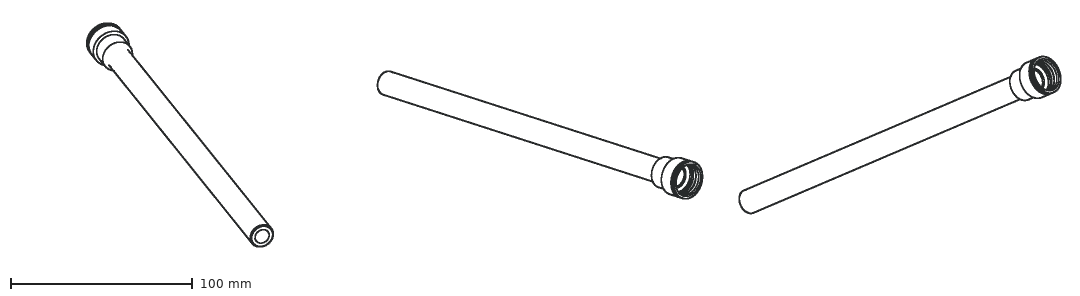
import cadquery as cq
import math

total_length = 250.0
stem_diameter = 13.5
stem_end_chamfer = 0.6

head_diameter = 21.0
head_length = 10.5
head_taper_length = 0.6
neck_diameter = 17.5
neck_end = 20.65
neck_fillet = 1.5

groove_diameter = 20.0
groove_start = 1.5
groove_width = 1.1

mouth_diameter = 18.2
seal_bore_diameter = 17.0
seal_bore_end = 8.1
inner_groove_diameter = 18.0
inner_groove_start = 3.15
inner_groove_floor = 1.8

tube_lead_diameter = 13.0
tube_bore_diameter = 12.0
tube_bore_end = 18.0
bore_diameter = 8.2

lead_half_angle = 30.0
shoulder_half_angle = 59.0
tube_stop_half_angle = 70.0

edge_margin = 0.1


def cone_length(large_diameter, small_diameter, half_angle):
    """Axial length of a cone between two diameters."""
    return (large_diameter - small_diameter) / 2 / math.tan(math.radians(half_angle))


def revolve_profile(stations):
    """Solid of revolution about X from (x, diameter) stations."""
    points = [(x, diameter / 2) for x, diameter in stations]
    axis_start = (points[0][0], 0)
    axis_end = (points[-1][0], 0)
    outline = cq.Workplane("XY").polyline([axis_start] + points + [axis_end]).close()
    return outline.revolve(360, (0, 0, 0), (1, 0, 0))


def outer_body():
    """Head, neck and stem without grooves or bore."""
    return revolve_profile([
        (0, head_diameter),
        (head_length, head_diameter),
        (head_length + head_taper_length, neck_diameter),
        (neck_end, neck_diameter),
        (neck_end, stem_diameter),
        (total_length - stem_end_chamfer, stem_diameter),
        (total_length, stem_diameter - 2 * stem_end_chamfer),
    ])


def round_neck_root(body):
    """Fillet the inside corner where the stem meets the neck."""
    reach = stem_diameter / 2 + edge_margin
    corner_box = cq.selectors.BoxSelector(
        (neck_end - edge_margin, -reach, -reach),
        (neck_end + edge_margin, reach, reach),
        boundingbox=True,
    )
    return body.edges(corner_box).fillet(neck_fillet)


def outer_groove():
    """Square-sided ring cut into the outside of the head."""
    disc = cq.Workplane("YZ", origin=(groove_start, 0, 0)).circle(head_diameter / 2 + edge_margin)
    return disc.circle(groove_diameter / 2).extrude(groove_width)


def inner_groove():
    """Plug whose middle is wider than the seal bore, leaving a groove in the wall."""
    slope = cone_length(inner_groove_diameter, seal_bore_diameter, lead_half_angle)
    floor_start = inner_groove_start + slope
    floor_end = floor_start + inner_groove_floor
    return revolve_profile([
        (inner_groove_start, seal_bore_diameter),
        (floor_start, inner_groove_diameter),
        (floor_end, inner_groove_diameter),
        (floor_end + slope, seal_bore_diameter),
    ])


def passage():
    """Stepped bore from the mouth to the far end of the stem."""
    lead_end = cone_length(mouth_diameter, seal_bore_diameter, lead_half_angle)
    shoulder_end = seal_bore_end + cone_length(
        seal_bore_diameter, tube_lead_diameter, shoulder_half_angle
    )
    tube_bore_start = shoulder_end + cone_length(
        tube_lead_diameter, tube_bore_diameter, lead_half_angle
    )
    bore_start = tube_bore_end + cone_length(
        tube_bore_diameter, bore_diameter, tube_stop_half_angle
    )
    return revolve_profile([
        (0, mouth_diameter),
        (lead_end, seal_bore_diameter),
        (seal_bore_end, seal_bore_diameter),
        (shoulder_end, tube_lead_diameter),
        (tube_bore_start, tube_bore_diameter),
        (tube_bore_end, tube_bore_diameter),
        (bore_start, bore_diameter),
        (total_length, bore_diameter),
    ])


result = round_neck_root(outer_body())
result = result.cut(outer_groove()).cut(passage()).cut(inner_groove())